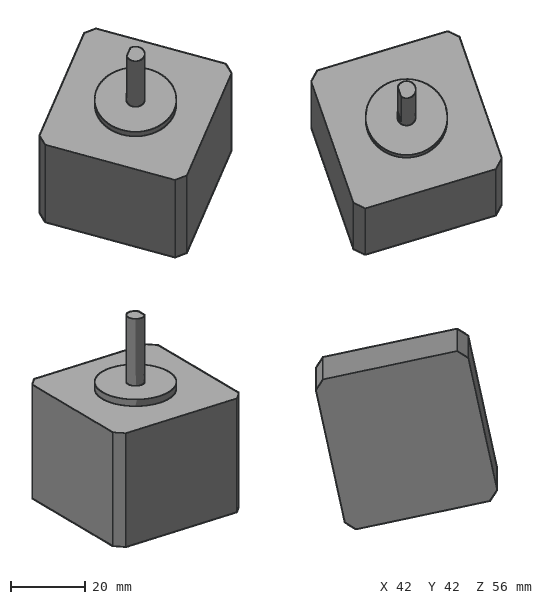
import cadquery as cq

total_height = 56.0
body_width = 42.0
body_height = 34.0
corner_chamfer = 2.5
boss_diameter = 22.0
boss_height = 2.0
shaft_diameter = 5.0
flat_depth = 0.5
flat_length = 18.0

boss_top = body_height + boss_height
shaft_length = total_height - boss_top

body = (
    cq.Workplane("XY")
    .box(body_width, body_width, body_height, centered=(True, True, False))
    .edges("|Z")
    .chamfer(corner_chamfer)
)

boss = cq.Workplane("XY").workplane(offset=body_height).circle(boss_diameter / 2).extrude(boss_height)

shaft = cq.Workplane("XY").workplane(offset=boss_top).circle(shaft_diameter / 2).extrude(shaft_length)
flat_cutter = (
    cq.Workplane("XY")
    .box(shaft_diameter, shaft_diameter, flat_length, centered=(True, True, False))
    .translate((flat_depth - shaft_diameter, 0, total_height - flat_length))
)
shaft = shaft.cut(flat_cutter)

result = body.union(boss).union(shaft)